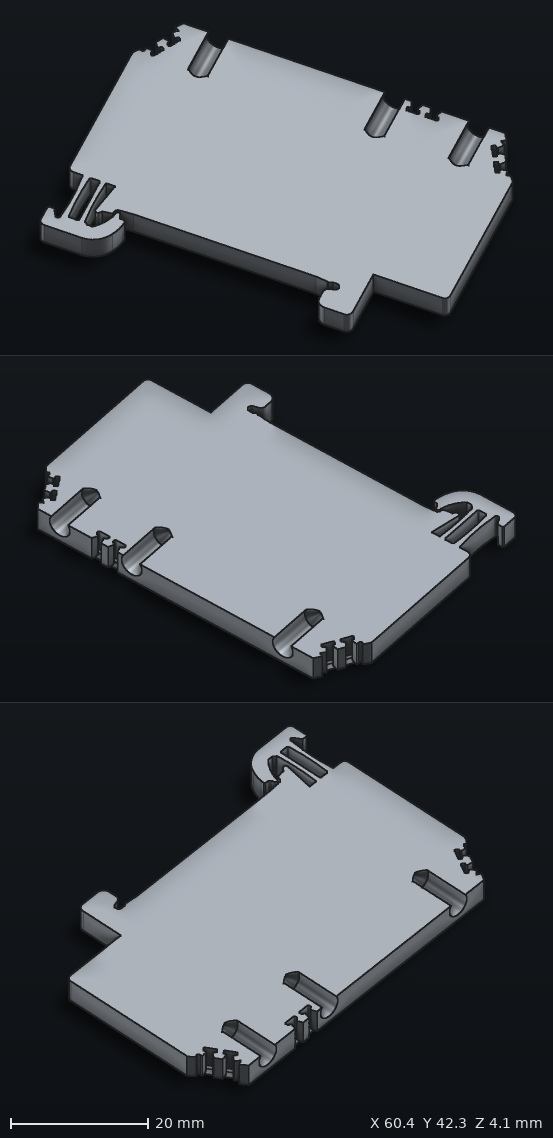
import cadquery as cq
import math

length = 60.35
height = 42.3
thickness = 4.1
body_bottom = 10.7
corner_radius = 0.9

rail_seat = 7.0
rail_lip = 6.8
rail_left = 12.0
rail_right = 41.0

fixed_foot_right = 48.5
fixed_foot_left = 43.0
fixed_foot_bottom = 2.25
fixed_foot_heel_radius = 1.3
fixed_foot_toe_radius = 1.0

foot_corner_radius = 0.9
web_slot_bottom = 2.8
web_slot_left = 3.55
web_slot_right = 5.2
web_slot_bow = 0.2
web_slot_fillet = 0.25
web_mid_y = (body_bottom + web_slot_bottom) / 2

groove_centers = [10.25, 38.25, 51.6]
groove_mouth = 3.1
groove_radius = 1.9
groove_length = 7.55
groove_axis_drop = math.sqrt(groove_radius**2 - (groove_mouth / 2) ** 2)

marker_pitch = 3.0
marker_mouth = 1.75
marker_throat = 1.0
marker_neck_depth = 0.9
marker_jaw_opening = 1.45
marker_jaw_chamfer = 0.2
marker_pocket_start = 1.2
marker_pocket_width = 2.05
marker_pocket_depth = 1.9
marker_pocket_fillet = 0.2
marker_floor = 0.4
marker_ramp_start = 0.5
marker_overrun = 0.6
shoulder_angle = 60.0
top_pair_center = 43.3
shoulder_pair_center = (2.65, 38.1)


def shoulder_corners():
    """Outline of the -X shoulder from the small notch up to the top edge."""
    return [
        (1.5, 35.95),
        (3.85, 40.15),
        (4.6, 40.75),
        (3.85, 41.15),
        (4.65, height),
    ]


def mirrored(point):
    """The same point on the +X half of the plate."""
    return (length - point[0], point[1])


def draw_shoulders(outline):
    """Left side, both stepped shoulders and the top edge, ending on the right side."""
    arc_start = (0, 34.35)
    arc_middle = (0.35, 34.95)
    arc_end = (0.9, 35.4)
    notch_bottom = (1.2, 35.25)
    notch_end = (1.45, 35.6)
    corners = shoulder_corners()
    outline = outline.lineTo(*arc_start).threePointArc(arc_middle, arc_end)
    outline = outline.threePointArc(notch_bottom, notch_end)
    for corner in corners:
        outline = outline.lineTo(*corner)
    for corner in reversed(corners):
        outline = outline.lineTo(*mirrored(corner))
    outline = outline.lineTo(*mirrored(notch_end))
    outline = outline.threePointArc(mirrored(notch_bottom), mirrored(arc_end))
    return outline.threePointArc(mirrored(arc_middle), mirrored(arc_start))


def draw_fixed_foot(outline):
    """Lower right body edge and the rigid hook."""
    heel = fixed_foot_heel_radius
    toe = fixed_foot_toe_radius
    return (
        outline.lineTo(length, body_bottom + corner_radius)
        .radiusArc((length - corner_radius, body_bottom), corner_radius)
        .lineTo(fixed_foot_right, body_bottom)
        .lineTo(fixed_foot_right, fixed_foot_bottom + toe)
        .radiusArc((fixed_foot_right - toe, fixed_foot_bottom), toe)
        .lineTo(fixed_foot_left + heel, fixed_foot_bottom)
        .radiusArc((fixed_foot_left, fixed_foot_bottom + heel), heel)
        .lineTo(fixed_foot_left, 4.95)
        .threePointArc((43.3, 5.4), (43.7, 5.6))
        .lineTo(44.3, 5.8)
        .threePointArc((44.9, 6.35), (44.3, rail_seat))
        .lineTo(43.65, rail_seat)
        .lineTo(43.1, 6.7)
        .lineTo(42.85, rail_lip)
        .lineTo(rail_right, rail_seat)
    )


def draw_rail_and_catch(outline):
    """Rail seat, then the wedge of the body above the spring foot."""
    return (
        outline.lineTo(rail_left, rail_seat)
        .lineTo(9.6, rail_lip)
        .lineTo(9.35, 6.5)
        .lineTo(9.25, 5.9)
        .lineTo(7.65, 5.7)
        .lineTo(7.35, 5.25)
        .threePointArc((6.9, 5.2), (6.65, 5.55))
        .lineTo(7.55, body_bottom)
    )


def draw_spring_foot(outline):
    """Curved foot hanging on two thin webs, back to the left body corner."""
    return (
        outline.lineTo(6.1, body_bottom)
        .threePointArc((5.9, web_mid_y), (6.1, 2.95))
        .lineTo(6.65, 2.55)
        .lineTo(7.5, 2.55)
        .threePointArc((8.9, 4.15), (9.55, 5.8))
        .lineTo(9.6, 6.15)
        .threePointArc((9.95, 6.45), (10.3, 6.1))
        .threePointArc((10.5, 5.6), (10.85, 5.45))
        .lineTo(11.2, 5.45)
        .lineTo(11.45, 5.2)
        .lineTo(11.4, 4.6)
        .threePointArc((11.15, 3.55), (10.7, 2.4))
        .threePointArc((9.2, 0.7), (6.8, 0))
        .lineTo(foot_corner_radius, 0)
        .radiusArc((0, foot_corner_radius), foot_corner_radius)
        .lineTo(0, 3.2)
        .lineTo(0.25, 3.45)
        .lineTo(1.0, 3.45)
        .lineTo(1.7, 2.3)
        .threePointArc((2.1, 2.05), (2.4, 2.5))
        .threePointArc((2.65, web_mid_y), (2.4, body_bottom))
        .lineTo(corner_radius, body_bottom)
        .radiusArc((0, body_bottom + corner_radius), corner_radius)
    )


def make_plate():
    outline = cq.Workplane("XY").moveTo(0, body_bottom + corner_radius)
    outline = draw_shoulders(outline)
    outline = draw_fixed_foot(outline)
    outline = draw_rail_and_catch(outline)
    outline = draw_spring_foot(outline)
    return outline.close().extrude(thickness)


def make_web_slot():
    """Closed slot that splits the spring foot's neck into two webs."""
    return (
        cq.Workplane("XY")
        .moveTo(web_slot_left, web_slot_bottom)
        .threePointArc((web_slot_left - web_slot_bow, web_mid_y), (web_slot_left, body_bottom))
        .lineTo(web_slot_right, body_bottom)
        .lineTo(web_slot_right, web_slot_bottom)
        .close()
        .extrude(thickness)
        .edges("|Z")
        .fillet(web_slot_fillet)
    )


def make_groove(center_x):
    """Round bore with a 90 degree conical end, breaking through the upper face."""
    profile = [
        (0, height),
        (groove_radius, height),
        (groove_radius, height - groove_length),
        (0, height - groove_length - groove_radius),
    ]
    bore = cq.Workplane("XY").polyline(profile).close().revolve(360, (0, 0, 0), (0, 1, 0))
    return bore.translate((center_x, 0, thickness - groove_axis_drop))


def make_marker_slot():
    """T-slot cutter; its mouth is centred on the origin and it goes in along -Y."""
    neck = [
        (-marker_mouth / 2, 0),
        (-marker_mouth / 2, marker_overrun),
        (marker_mouth / 2, marker_overrun),
        (marker_mouth / 2, 0),
        (marker_throat / 2, -marker_neck_depth),
        (marker_throat / 2, marker_jaw_chamfer - marker_pocket_start),
        (marker_jaw_opening / 2, -marker_pocket_start),
        (-marker_jaw_opening / 2, -marker_pocket_start),
        (-marker_throat / 2, marker_jaw_chamfer - marker_pocket_start),
        (-marker_throat / 2, -marker_neck_depth),
    ]
    pocket_height = marker_pocket_depth - marker_pocket_start
    pocket = (
        cq.Workplane("XY")
        .center(0, -(marker_pocket_start + marker_pocket_depth) / 2)
        .rect(marker_pocket_width, pocket_height)
        .extrude(thickness)
        .edges("|Z")
        .fillet(marker_pocket_fillet)
    )
    slot = cq.Workplane("XY").polyline(neck).close().extrude(thickness).union(pocket)
    floor_profile = [
        (-marker_ramp_start, 0),
        (-marker_pocket_start, marker_floor),
        (-marker_pocket_depth, marker_floor),
        (-marker_pocket_depth, 0),
    ]
    floor = (
        cq.Workplane("YZ")
        .polyline(floor_profile)
        .close()
        .extrude(marker_pocket_width / 2, both=True)
    )
    return slot.cut(floor)


def make_marker_pair():
    slot = make_marker_slot()
    half_pitch = marker_pitch / 2
    return slot.translate((-half_pitch, 0, 0)).union(slot.translate((half_pitch, 0, 0)))


result = make_plate().cut(make_web_slot())

for groove_x in groove_centers:
    result = result.cut(make_groove(groove_x))

marker_pair = make_marker_pair()
shoulder_pair = marker_pair.rotate((0, 0, 0), (0, 0, 1), shoulder_angle)
shoulder_pair = shoulder_pair.translate((*shoulder_pair_center, 0))
opposite_pair = shoulder_pair.mirror("YZ").translate((length, 0, 0))

result = result.cut(marker_pair.translate((top_pair_center, height, 0)))
result = result.cut(shoulder_pair).cut(opposite_pair)